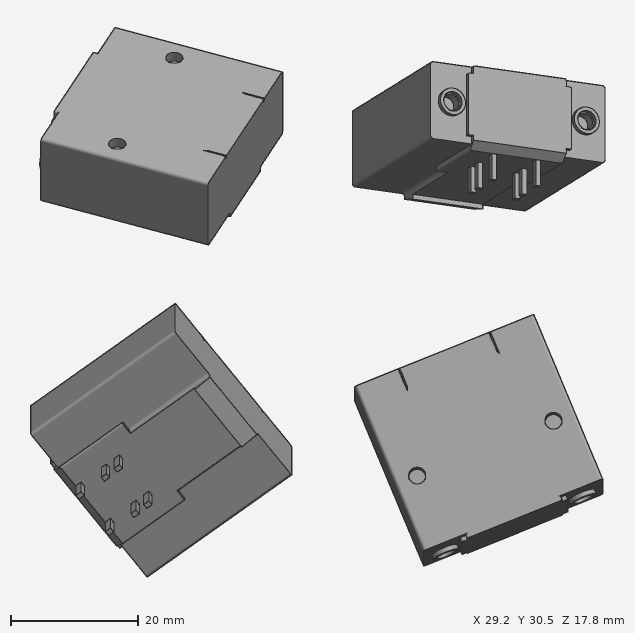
import cadquery as cq


length = 29.25
width = 30.48
pin_tip_z = -17.77

body_front = 0.75
body_height = 12.68
body_fillet = 0.52

block_width = 16.15
block_height = 13.55
block_fillet = 0.25
front_chamfer = 1.3
step_x = 13.53
rear_width = 12.2
root_fillet = 0.58

flange_width = 17.98
flange_top = -1.25
flange_bottom = -11.45
flange_fillet = 0.3

boss_y = 11.67
boss_z = -body_height / 2
boss_diameter = 4.35
boss_bore_diameter = 3.17

hole_diameter = 2.68
hole_depth = 1.77
top_hole_x = 12.28
top_hole_y = 11.58

groove_outer_y = 7.83
groove_width = 0.25
groove_depth = 0.6
groove_start = 25.45
slope_start = 26.1
ledge_start = 27.85
ledge_end = 28.95

hook_length = 3.0
hook_drop = 0.8

pin_size_x = 1.05
pin_size_y = 0.82
pin_x_positions = (1.9, 6.92, 9.45)
pin_y = 3.85

sides = (1, -1)


def block(x_start, x_end, full_width, z_bottom, z_top):
    """Box centred on the mid-plane."""
    size = (x_end - x_start, full_width, z_top - z_bottom)
    return cq.Workplane("XY").box(*size, centered=(False, True, False)).translate((x_start, 0, z_bottom))


def make_body():
    body = block(body_front, length, width, -body_height, 0)
    return body.edges("|X").fillet(body_fillet)


def make_front_block():
    """Front part of the central block, with the sloped lower front edge."""
    front = block(0, step_x, block_width, -block_height, 0)
    front = front.edges("|X").fillet(block_fillet)
    slope = (
        cq.Workplane("XZ")
        .polyline([(0, -block_height), (front_chamfer, -block_height), (0, front_chamfer - block_height)])
        .close()
        .extrude(block_width / 2, both=True)
    )
    return front.cut(slope)


def make_rear_block():
    """Narrower rear part, joined to the body underside by concave fillets."""
    rear_half = rear_width / 2
    root_z = -body_height - root_fillet
    outline = (
        cq.Workplane("YZ", origin=(step_x, 0, 0))
        .moveTo(-rear_half - root_fillet, -body_height)
        .radiusArc((-rear_half, root_z), root_fillet)
        .lineTo(-rear_half, -block_height)
        .lineTo(rear_half, -block_height)
        .lineTo(rear_half, root_z)
        .radiusArc((rear_half + root_fillet, -body_height), root_fillet)
        .lineTo(rear_half + root_fillet, boss_z)
        .lineTo(-rear_half - root_fillet, boss_z)
        .close()
    )
    return outline.extrude(length - step_x)


def make_flange():
    flange = block(0, body_front, flange_width, flange_bottom, flange_top)
    return flange.edges("|X and >Z").fillet(flange_fillet)


def make_hook():
    """Wedge as wide as the rear block, with its barb facing forward."""
    hook_front = length - hook_length
    return (
        cq.Workplane("XZ")
        .moveTo(hook_front, -body_height)
        .lineTo(hook_front, -block_height - hook_drop)
        .lineTo(length, -block_height)
        .lineTo(length, -body_height)
        .close()
        .extrude(rear_width / 2, both=True)
    )


def make_pins():
    places = [(x, side * pin_y) for x in pin_x_positions for side in sides]
    return (
        cq.Workplane("XY", origin=(0, 0, pin_tip_z))
        .pushPoints(places)
        .rect(pin_size_x, pin_size_y)
        .extrude(-body_height - pin_tip_z)
    )


def front_cylinders(x_start, diameter, depth):
    """One cylinder along X on each boss axis."""
    return (
        cq.Workplane("YZ", origin=(x_start, 0, boss_z))
        .pushPoints([(side * boss_y, 0) for side in sides])
        .circle(diameter / 2)
        .extrude(depth)
    )


def make_top_holes():
    return (
        cq.Workplane("XY")
        .pushPoints([(top_hole_x, side * top_hole_y) for side in sides])
        .circle(hole_diameter / 2)
        .extrude(-hole_depth)
    )


def make_groove():
    """Latch groove on the +Y side: tapered entry, outward slope, flat ledge, inward slope."""
    inner_y = groove_outer_y - groove_width
    entry = (
        cq.Workplane("XY")
        .polyline([(groove_start, groove_outer_y), (slope_start, groove_outer_y), (slope_start, inner_y)])
        .close()
        .extrude(-groove_depth)
    )
    top_inner = (inner_y, 0)
    top_outer = (groove_outer_y, 0)
    low_inner = (inner_y, -groove_depth)
    low_outer = (groove_outer_y, -groove_depth)
    sections = (
        (slope_start, ledge_start, [top_inner, top_outer, low_outer]),
        (ledge_start, ledge_end, [top_inner, top_outer, low_outer, low_inner]),
        (ledge_end, length, [top_inner, top_outer, low_inner]),
    )
    groove = entry
    for x_start, x_end, outline in sections:
        profile = cq.Workplane("YZ", origin=(x_start, 0, 0)).polyline(outline).close()
        groove = groove.union(profile.extrude(x_end - x_start))
    return groove


part = make_body()
part = part.union(make_front_block())
part = part.union(make_rear_block())
part = part.union(make_flange())
part = part.union(make_hook())
part = part.union(make_pins())
part = part.union(front_cylinders(0, boss_diameter, body_front))

part = part.cut(front_cylinders(0, boss_bore_diameter, body_front))
part = part.cut(front_cylinders(body_front, hole_diameter, hole_depth))
part = part.cut(make_top_holes())
latch_groove = make_groove()
part = part.cut(latch_groove)
part = part.cut(latch_groove.mirror("XZ"))

result = part